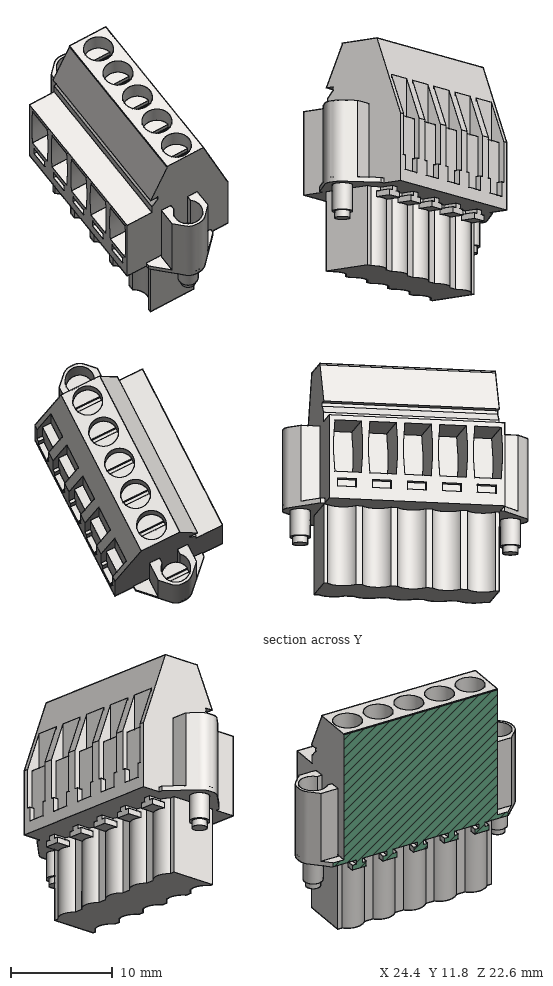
import cadquery as cq
import math


pole_count = 5
pole_pitch = 3.5
pole_xs = [pole_pitch * (i - (pole_count - 1) / 2) for i in range(pole_count)]

terminal_offset = 0.1
terminal_xs = [x + terminal_offset for x in pole_xs]

body_width = 17.55
front_y = -6.01
back_y = 5.82
body_top = 14.66
roof_back_y = 2.93
roof_front_y = -1.32
roof_lip = 0.17
back_slope_foot = 6.77
eave_y = -3.25
eave_z = 10.4
groove_y = -2.42
groove_wall_bottom = 10.07
step_wall_y = -3.1
step_wall_top = 9.3
step_z = 8.38

skirt_height = 7.95
skirt_front_y = -3.27
skirt_back_y = 1.8
scallop_width = 2.8
scallop_depth = 0.8
bulge_width = 2.55
bulge_height = 0.55

entry_bottom = 2.71
entry_top = 7.9
entry_end_width = 2.65
entry_mid_width = 2.9
entry_depth = 4.9
window_width = 1.9
window_bottom = 1.25
window_top = 2.05
window_depth = 0.59

recess_width = bulge_width
recess_wall_y = 4.3
notch_wall_y = back_y - window_depth
notch_floor = entry_bottom
slot_floor = window_bottom

tab_back_y = 3.76
tab_neck_width = 0.73
tab_head_width = 1.61
tab_neck_height = 0.42
tab_head_height = 0.59

terminal_y = 0.85
terminal_radius = 1.47
terminal_sink = 1.85
terminal_length = 2.45
drive_slot_width = 0.42
drive_slot_depth = 0.5

flange_x = 10.5
flange_tip_x = 12.22
flange_tip_flat = 0.27
flange_tangent_x = 11.73
flange_tangent_y = 1.22
flange_half_depth = 3.76
flange_thickness = 0.5
tower_top = 8.15
tower_half_depth = 2.1
tower_inner_x = 8.92
tower_bore_radius = 1.45
tower_gap_width = 1.95
head_radius = 1.4
head_seat = 2.45
head_height = 1.95
shank_radius = 1.0
shank_end = -2.65
tip_radius = 0.75
tip_end = -3.32


def block(x_range, y_range, z_range):
    """Axis-aligned box between the given limits."""
    (x0, x1), (y0, y1), (z0, z1) = x_range, y_range, z_range
    return cq.Workplane("XY").box(x1 - x0, y1 - y0, z1 - z0, centered=False).translate((x0, y0, z0))


def centred_block(x, width, y_range, z_range):
    """Box of the given width centred on x."""
    return block((x - width / 2, x + width / 2), y_range, z_range)


def upright(x, y, radius, bottom, top):
    """Vertical cylinder between two heights."""
    return cq.Workplane("XY").center(x, y).circle(radius).extrude(top - bottom).translate((0, 0, bottom))


def main_block():
    """Side profile extruded along the row of poles."""
    profile = [
        (front_y, 0),
        (front_y, step_z),
        (step_wall_y, step_z),
        (step_wall_y, step_wall_top),
        (groove_y, groove_wall_bottom),
        (groove_y, eave_z),
        (eave_y, eave_z),
        (roof_front_y, body_top - roof_lip),
        (roof_front_y, body_top),
        (roof_back_y, body_top),
        (back_y, back_slope_foot),
        (back_y, 0),
    ]
    return cq.Workplane("YZ").polyline(profile).close().extrude(body_width / 2, both=True)


def skirt():
    """Plug skirt: a concave scallop in front and a convex bulge behind at each pole."""
    half_width = body_width / 2
    outline = cq.Workplane("XY").moveTo(-half_width, skirt_front_y)
    for x in pole_xs:
        outline = outline.lineTo(x - scallop_width / 2, skirt_front_y).threePointArc(
            (x, skirt_front_y + scallop_depth), (x + scallop_width / 2, skirt_front_y)
        )
    outline = outline.lineTo(half_width, skirt_front_y).lineTo(half_width, skirt_back_y)
    for x in reversed(pole_xs):
        outline = outline.lineTo(x + bulge_width / 2, skirt_back_y).threePointArc(
            (x, skirt_back_y + bulge_height), (x - bulge_width / 2, skirt_back_y)
        )
    outline = outline.lineTo(-half_width, skirt_back_y).close()
    return outline.extrude(-skirt_height)


def coding_tab(x):
    """T-shaped tab hanging from the main block and rooted in the skirt."""
    y_range = (skirt_back_y - bulge_height, tab_back_y)
    neck_bottom = -tab_neck_height
    neck = centred_block(x, tab_neck_width, y_range, (neck_bottom, 0))
    head = centred_block(x, tab_head_width, y_range, (neck_bottom - tab_head_height, neck_bottom))
    return neck.union(head)


def wire_entry(x):
    """Wire pocket with straight ends and bowed sides."""
    end_x = entry_end_width / 2
    mid_x = entry_mid_width / 2
    mid_z = (entry_bottom + entry_top) / 2
    outline = (
        cq.Workplane("XZ", origin=(x, front_y, 0))
        .moveTo(-end_x, entry_bottom)
        .lineTo(end_x, entry_bottom)
        .threePointArc((mid_x, mid_z), (end_x, entry_top))
        .lineTo(-end_x, entry_top)
        .threePointArc((-mid_x, mid_z), (-end_x, entry_bottom))
        .close()
    )
    return outline.extrude(-entry_depth)


def test_window(x):
    """Shallow rectangular window below a wire entry."""
    return centred_block(
        x, window_width, (front_y, front_y + window_depth), (window_bottom, window_top)
    )


def back_recess(x):
    """Recess in the back slope, stepping down to a notch and then to a narrower slot."""
    ledge = centred_block(x, recess_width, (recess_wall_y, back_y), (back_slope_foot, body_top))
    notch = centred_block(x, recess_width, (notch_wall_y, back_y), (notch_floor, back_slope_foot))
    slot = centred_block(x, window_width, (notch_wall_y, back_y), (slot_floor, notch_floor))
    return ledge.union(notch).union(slot)


def terminal_hole(x):
    """Blind hole that holds a terminal screw below the roof."""
    bottom = body_top - terminal_sink - terminal_length
    return upright(x, terminal_y, terminal_radius, bottom, body_top)


def flange_outline(root_x):
    """Plan of the right flange: 45 degree sides and a rounded nose with a small flat tip."""
    shoulder_x = flange_tangent_x + flange_tangent_y - flange_half_depth
    flat_y = flange_tip_flat / 2
    nose_radius = (flange_tangent_y - flat_y) / math.sin(math.pi / 4)
    nose_mid_x = flange_tip_x - nose_radius * (1 - math.cos(math.pi / 8))
    nose_mid_y = flat_y + nose_radius * math.sin(math.pi / 8)
    return (
        cq.Workplane("XY")
        .moveTo(root_x, -flange_half_depth)
        .lineTo(shoulder_x, -flange_half_depth)
        .lineTo(flange_tangent_x, -flange_tangent_y)
        .threePointArc((nose_mid_x, -nose_mid_y), (flange_tip_x, -flat_y))
        .lineTo(flange_tip_x, flat_y)
        .threePointArc((nose_mid_x, nose_mid_y), (flange_tangent_x, flange_tangent_y))
        .lineTo(shoulder_x, flange_half_depth)
        .lineTo(root_x, flange_half_depth)
        .close()
    )


def right_flange():
    """Base plate and slotted screw tower on the +X side."""
    plate = flange_outline(body_width / 2).extrude(flange_thickness)
    tower_limits = block(
        (tower_inner_x, flange_tip_x), (-tower_half_depth, tower_half_depth), (0, tower_top)
    )
    tower = flange_outline(tower_inner_x).extrude(tower_top).intersect(tower_limits)
    bore = upright(flange_x, 0, tower_bore_radius, head_seat, tower_top)
    gap = block(
        (tower_inner_x, flange_x),
        (-tower_gap_width / 2, tower_gap_width / 2),
        (head_seat, tower_top),
    )
    shank_hole = upright(flange_x, 0, shank_radius, 0, head_seat)
    return plate.union(tower).cut(bore).cut(gap).cut(shank_hole)


def make_housing():
    housing = main_block().union(skirt())
    for x in pole_xs:
        housing = housing.union(coding_tab(x))
    for x in pole_xs:
        housing = housing.cut(test_window(x)).cut(back_recess(x))
    for x in terminal_xs:
        housing = housing.cut(wire_entry(x)).cut(terminal_hole(x))
    flange = right_flange()
    return housing.union(flange).union(flange.mirror("YZ"))


def drive_slot(x, y, radius, head_top):
    """Screwdriver slot across a screw head, along Y."""
    return centred_block(
        x, drive_slot_width, (y - radius, y + radius), (head_top - drive_slot_depth, head_top)
    )


def make_terminal_screw(x):
    top = body_top - terminal_sink
    screw = upright(x, terminal_y, terminal_radius, top - terminal_length, top)
    return screw.cut(drive_slot(x, terminal_y, terminal_radius, top))


def make_flange_screw(x):
    head_top = head_seat + head_height
    head = upright(x, 0, head_radius, head_seat, head_top)
    shank = upright(x, 0, shank_radius, shank_end, head_seat)
    tip = upright(x, 0, tip_radius, tip_end, shank_end)
    return head.union(shank).union(tip).cut(drive_slot(x, 0, head_radius, head_top))


housing = make_housing()
terminal_screws = [make_terminal_screw(x) for x in terminal_xs]
flange_screws = [make_flange_screw(x) for x in (-flange_x, flange_x)]

result = cq.Compound.makeCompound(
    [body.solids().val() for body in [housing, *terminal_screws, *flange_screws]]
)